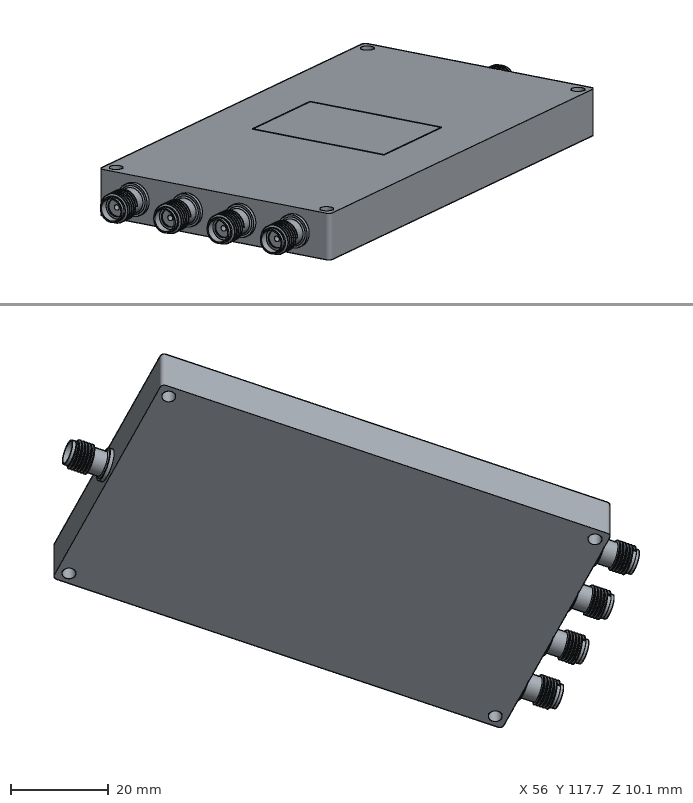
import cadquery as cq

HOUSING_WIDTH = 56.0
HOUSING_LENGTH = 100.0
HOUSING_HEIGHT = 10.0
CORNER_RADIUS = 1.0

LABEL_WIDTH = 31.9
LABEL_LENGTH = 21.8
LABEL_THICKNESS = 0.1

MOUNT_HOLE_DIAMETER = 2.8
MOUNT_HOLE_INSET_X = 2.5
MOUNT_HOLE_INSET_Y = 2.6

OVERALL_LENGTH = 117.7
CONNECTOR_LENGTH = (OVERALL_LENGTH - HOUSING_LENGTH) / 2
OUTPUT_COUNT = 4
OUTPUT_PITCH = 13.0
FLANGE_RADIUS = 3.5
FLANGE_THICKNESS = 0.8
COLLAR_RADIUS = 3.1
COLLAR_END = 1.1
BARREL_RADIUS = 2.7
TIP_RELIEF = 0.06
TIP_RADIUS = BARREL_RADIUS - TIP_RELIEF
TIP_LENGTH = 0.7
MOUTH_RADIUS = 2.4
MOUTH_DEPTH = 1.8
BORE_RADIUS = 1.9
BORE_DEPTH = 2.1
PIN_HOLE_RADIUS = 0.6
PIN_HOLE_DEPTH = 3.0

THREAD_RADIUS = 3.2
THREAD_PITCH = 0.7
THREAD_TURNS = 5.5
THREAD_START = 3.9
THREAD_ROOT_WIDTH = 0.6
THREAD_CREST_WIDTH = 0.18
THREAD_EMBED = 0.1


def make_housing():
    """Rounded box with its underside at Z = 0, label plate on top, corner holes through."""
    box = (
        cq.Workplane("XY")
        .box(HOUSING_WIDTH, HOUSING_LENGTH, HOUSING_HEIGHT, centered=(True, True, False))
        .edges("|Z")
        .fillet(CORNER_RADIUS)
    )
    label = (
        cq.Workplane("XY", origin=(0, 0, HOUSING_HEIGHT))
        .rect(LABEL_WIDTH, LABEL_LENGTH)
        .extrude(LABEL_THICKNESS)
    )
    holes = (
        cq.Workplane("XY")
        .rect(
            HOUSING_WIDTH - 2 * MOUNT_HOLE_INSET_X,
            HOUSING_LENGTH - 2 * MOUNT_HOLE_INSET_Y,
            forConstruction=True,
        )
        .vertices()
        .circle(MOUNT_HOLE_DIAMETER / 2)
        .extrude(HOUSING_HEIGHT)
    )
    return box.union(label).cut(holes)


def make_thread():
    """Helical ridge around the Z axis, its foot sunk slightly into the barrel."""
    foot_radius = BARREL_RADIUS - THREAD_EMBED
    helix = cq.Wire.makeHelix(THREAD_PITCH, THREAD_PITCH * THREAD_TURNS, foot_radius)
    ridge = (
        cq.Workplane("XZ")
        .moveTo(foot_radius, -THREAD_ROOT_WIDTH / 2)
        .lineTo(THREAD_RADIUS, -THREAD_CREST_WIDTH / 2)
        .lineTo(THREAD_RADIUS, THREAD_CREST_WIDTH / 2)
        .lineTo(foot_radius, THREAD_ROOT_WIDTH / 2)
        .close()
        .sweep(cq.Workplane(helix), isFrenet=True)
    )
    return ridge.translate((0, 0, THREAD_START))


def make_connector():
    """Threaded socket along +Z, its flange seated at Z = 0."""
    mouth_floor = CONNECTOR_LENGTH - MOUTH_DEPTH
    bore_floor = CONNECTOR_LENGTH - BORE_DEPTH
    pin_hole_floor = bore_floor - PIN_HOLE_DEPTH
    barrel = (
        cq.Workplane("XZ")
        .moveTo(0, 0)
        .lineTo(FLANGE_RADIUS, 0)
        .lineTo(FLANGE_RADIUS, FLANGE_THICKNESS)
        .lineTo(COLLAR_RADIUS, FLANGE_THICKNESS)
        .lineTo(BARREL_RADIUS, COLLAR_END)
        .lineTo(BARREL_RADIUS, CONNECTOR_LENGTH - TIP_LENGTH)
        .lineTo(TIP_RADIUS, CONNECTOR_LENGTH - TIP_LENGTH)
        .lineTo(TIP_RADIUS, CONNECTOR_LENGTH)
        .lineTo(0, CONNECTOR_LENGTH)
        .close()
        .revolve(360, (0, 0, 0), (0, 1, 0))
    )
    socket = (
        cq.Workplane("XZ")
        .moveTo(0, CONNECTOR_LENGTH)
        .lineTo(MOUTH_RADIUS, CONNECTOR_LENGTH)
        .lineTo(MOUTH_RADIUS, mouth_floor)
        .lineTo(BORE_RADIUS, mouth_floor)
        .lineTo(BORE_RADIUS, bore_floor)
        .lineTo(PIN_HOLE_RADIUS, bore_floor)
        .lineTo(PIN_HOLE_RADIUS, pin_hole_floor)
        .lineTo(0, pin_hole_floor)
        .close()
        .revolve(360, (0, 0, 0), (0, 1, 0))
    )
    return barrel.union(make_thread()).cut(socket)


connector = make_connector()
result = make_housing()

axis_height = HOUSING_HEIGHT / 2
result = result.union(
    connector.rotate((0, 0, 0), (1, 0, 0), -90).translate((0, HOUSING_LENGTH / 2, axis_height))
)

output_connector = connector.rotate((0, 0, 0), (1, 0, 0), 90)
for index in range(OUTPUT_COUNT):
    x = (index - (OUTPUT_COUNT - 1) / 2) * OUTPUT_PITCH
    result = result.union(output_connector.translate((x, -HOUSING_LENGTH / 2, axis_height)))